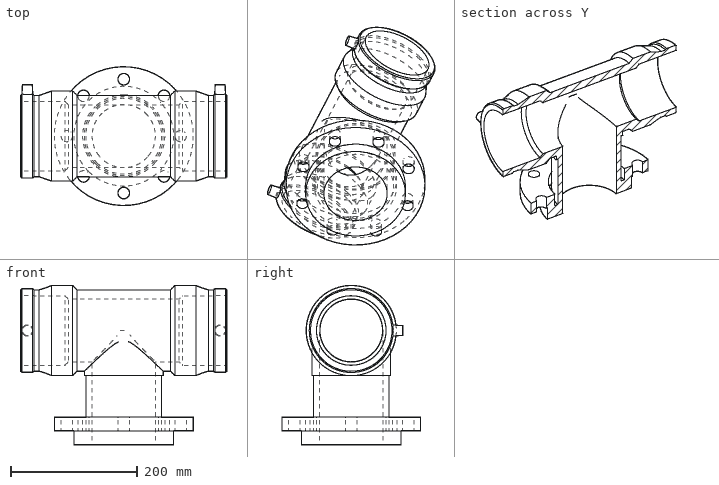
import cadquery as cq


RUN_LENGTH = 326.0
RUN_DIAMETER = 129.0
RUN_BORE = 99.0
BAND_DIAMETER = 133.0
BULGE_DIAMETER = 143.0

BAND_CHAMFER = 2.0
BAND_LENGTH = 21.0
NECK_LENGTH = 8.0
TAPER_LENGTH = 20.0
BULGE_LENGTH = 33.0
SHOULDER_LENGTH = 7.0

ENTRY_DIAMETER = 110.2
ENTRY_DEPTH = 18.0
ENTRY_TAPER_LENGTH = 3.5
SOCKET_DIAMETER = 110.0
SOCKET_DEPTH = 70.0
SOCKET_CONE_LENGTH = 5.5

STUD_BASE_DIAMETER = 17.5
STUD_TIP_DIAMETER = 16.0
STUD_HEIGHT = 15.0
STUD_ROOT_DEPTH = 3.0

SADDLE_DIAMETER = 125.0
SADDLE_BOTTOM = -BULGE_DIAMETER / 2
BRANCH_DIAMETER = 120.0
BRANCH_BORE = 100.0
BRANCH_LENGTH = 181.0

COLLAR_DIAMETER = 158.0
COLLAR_THICKNESS = 22.0
FLANGE_DIAMETER = 220.0
FLANGE_THICKNESS = 22.0
FLANGE_BORE = 130.0
BOLT_COUNT = 8
BOLT_CIRCLE = 180.0
BOLT_HOLE = 18.0

HALF_LENGTH = RUN_LENGTH / 2
BRANCH_END = -BRANCH_LENGTH
COLLAR_TOP = BRANCH_END + COLLAR_THICKNESS


def run_outside():
    """Outer body of the run: half profile mirrored about X = 0, revolved about X."""
    run_radius = RUN_DIAMETER / 2
    band_radius = BAND_DIAMETER / 2
    bulge_radius = BULGE_DIAMETER / 2
    neck_start = HALF_LENGTH - BAND_LENGTH
    taper_start = neck_start - NECK_LENGTH
    bulge_start = taper_start - TAPER_LENGTH
    shoulder_start = bulge_start - BULGE_LENGTH
    shoulder_end = shoulder_start - SHOULDER_LENGTH
    half_profile = [
        (shoulder_end, run_radius),
        (shoulder_start, bulge_radius),
        (bulge_start, bulge_radius),
        (taper_start, run_radius),
        (neck_start, run_radius),
        (neck_start + BAND_CHAMFER, band_radius),
        (HALF_LENGTH - BAND_CHAMFER, band_radius),
        (HALF_LENGTH, run_radius),
    ]
    return revolve_symmetric(half_profile)


def run_inside():
    """Bore of the run with a pipe socket at each end."""
    taper_start = HALF_LENGTH - ENTRY_DEPTH
    socket_end = HALF_LENGTH - SOCKET_DEPTH
    half_profile = [
        (socket_end - SOCKET_CONE_LENGTH, RUN_BORE / 2),
        (socket_end, SOCKET_DIAMETER / 2),
        (taper_start - ENTRY_TAPER_LENGTH, SOCKET_DIAMETER / 2),
        (taper_start, ENTRY_DIAMETER / 2),
        (HALF_LENGTH, ENTRY_DIAMETER / 2),
    ]
    return revolve_symmetric(half_profile)


def revolve_symmetric(half_profile):
    """Solid of revolution about X from (x, radius) points on the +X half."""
    mirrored = [(-x, radius) for x, radius in reversed(half_profile)]
    axis_points = [(HALF_LENGTH, 0), (-HALF_LENGTH, 0)]
    outline = cq.Workplane("XY").polyline(mirrored + half_profile + axis_points).close()
    return outline.revolve(360, (0, 0, 0), (1, 0, 0))


def cylinder(diameter, bottom, top):
    """Upright cylinder on the branch axis."""
    return cq.Workplane("XY").workplane(offset=bottom).circle(diameter / 2).extrude(top - bottom)


def stud(x):
    """Tapered terminal stud, rooted inside the band."""
    band_radius = BAND_DIAMETER / 2
    root = band_radius - STUD_ROOT_DEPTH
    tip = band_radius + STUD_HEIGHT
    outline = cq.Workplane("XY").polyline([
        (x, root),
        (x + STUD_BASE_DIAMETER / 2, root),
        (x + STUD_BASE_DIAMETER / 2, band_radius),
        (x + STUD_TIP_DIAMETER / 2, tip),
        (x, tip),
    ]).close()
    return outline.revolve(360, (x, 0, 0), (x, 1, 0))


def flange():
    """Loose-type ring with clearance round the branch and a circle of bolt holes."""
    flange_top = COLLAR_TOP + FLANGE_THICKNESS
    ring = cylinder(FLANGE_DIAMETER, COLLAR_TOP, flange_top)
    ring = ring.cut(cylinder(FLANGE_BORE, COLLAR_TOP, flange_top))
    bolt_holes = (
        cq.Workplane("XY")
        .workplane(offset=COLLAR_TOP)
        .polarArray(BOLT_CIRCLE / 2, 0, 360, BOLT_COUNT)
        .circle(BOLT_HOLE / 2)
        .extrude(FLANGE_THICKNESS)
    )
    return ring.cut(bolt_holes)


def branch_outside():
    """Saddle sleeve under the run, branch pipe and end collar."""
    saddle = cylinder(SADDLE_DIAMETER, SADDLE_BOTTOM, 0)
    pipe = cylinder(BRANCH_DIAMETER, BRANCH_END, SADDLE_BOTTOM)
    collar = cylinder(COLLAR_DIAMETER, BRANCH_END, COLLAR_TOP)
    return saddle.union(pipe).union(collar)


body = run_outside().union(branch_outside()).union(flange())
stud_offset = HALF_LENGTH - BAND_LENGTH / 2
for stud_x in (-stud_offset, stud_offset):
    body = body.union(stud(stud_x))

result = body.cut(run_inside()).cut(cylinder(BRANCH_BORE, BRANCH_END, 0))